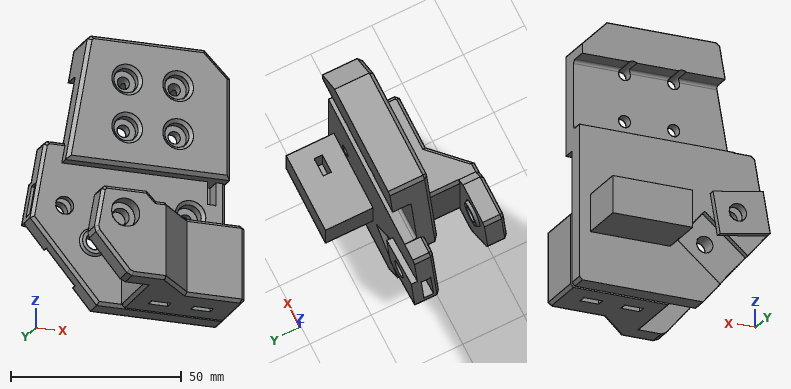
import cadquery as cq
import math

WIDTH = 60.75
DEPTH = 49.0
HEIGHT = 82.3

LEAN = 10.0
SLOPE = math.tan(math.radians(LEAN))
DIAGONAL_ANGLE = 50.0
DIAGONAL_TAN = math.tan(math.radians(DIAGONAL_ANGLE))

UPPER_BEVEL = 1.15
BEVEL = 1.0

PLATE_FRONT = 27.2
PLATE_BACK = 33.4
PLATE_TOP = 49.2
ELBOW_Z = 24.8
DIAGONAL_FOOT_X = ELBOW_Z / DIAGONAL_TAN
RIM_BACK = 35.4

UPPER_FRONT = 22.9
UPPER_BOTTOM = 42.7
UPPER_LEFT = 9.55
UPPER_CORNER_CUT = 8.0
RECESS_FLOOR_Y = 29.4
RECESS_BOTTOM = 49.4
RECESS_TOP = 71.2
RECESS_FILLET = 1.0

BOX_LEFT = 28.2
BOX_TOP = 24.0
BOX_FRONT = 10.8
BOX_SLANT_START_X = 32.0
BOX_SLANT_END_X = 42.65

ARM_THICKNESS = 6.6
ARM_TOP = 26.9
ARM_STEP_X = 26.3
ARM_ELBOW_X = 9.9
ARM_ELBOW_Z = (DIAGONAL_FOOT_X - ARM_ELBOW_X) * DIAGONAL_TAN

PIVOT_X = 19.4
PIVOT_Z = 19.2
PIVOT_BORE = 5.2
PIVOT_HEAD = 8.7
PIVOT_HEAD_DEPTH = 4.0
BOSS_TIP = 7.5
BOSS_BASE = 8.7
BOSS_HEIGHT = 1.0
PIVOT_POCKET_WIDTH = 13.8
PIVOT_POCKET_DEPTH = 1.7
POCKET_ANGLE = 90.0 - DIAGONAL_ANGLE

HEAD_DIAMETER = 7.5
HEAD_RIM = 9.55
HEAD_DEPTH = 3.3
UPPER_SCREW = 3.8
UPPER_SCREW_XS = (28.4, 44.3)
UPPER_SCREW_ZS = (54.75, 69.7)
LOWER_SCREW = 3.5
LOWER_SCREW_X = 49.7
LOWER_SCREW_Z = 31.4
LOWER_HEAD_DEPTH = 4.1

SIDE_HOLE = 5.5
SIDE_HOLE_X = 10.45
SIDE_HOLE_Z = 29.6
PAD_LENGTH = 16.5
PAD_WIDTH = 13.2
NUT_SLOT_LENGTH = 14.0
NUT_SLOT_WIDTH = 10.0
NUT_SLOT_FRONT = 29.15
NUT_SLOT_BACK = 32.3

OPEN_REACH = 24.7

BLOCK_LEFT = 31.45
BLOCK_RIGHT = 57.2
BLOCK_BOTTOM = 15.8
BLOCK_TOP = 27.7
SLOT_LENGTH = 5.9
SLOT_WIDTH = 2.6
BOX_SLOT_XS = (37.5, 50.8)
BOX_SLOT_Y = 20.25
BLOCK_SLOT_Y = 40.75
BLOCK_SLOT_DEPTH = 8.2
FRONT_SLOT_X = 56.4
FRONT_SLOT_BOTTOM = 35.65
FRONT_SLOT_DEPTH = 4.9


def plate(points, front, back):
    """Extrude an XZ outline from the front Y to the back Y."""
    return cq.Workplane("XZ", origin=(0, back, 0)).polyline(points).close().extrude(back - front)


def block(x_range, y_range, z_range):
    """Box between pairs of X, Y and Z limits."""
    sizes = [high - low for low, high in (x_range, y_range, z_range)]
    corner = (x_range[0], y_range[0], z_range[0])
    return cq.Workplane("XY").box(*sizes, centered=False).translate(corner)


def revolved(x, z, profile):
    """Solid of revolution about the Y line through (x, z); profile holds (radius, y) points."""
    points = [(0, profile[0][1])] + profile + [(0, profile[-1][1])]
    turned = cq.Workplane("XY").polyline(points).close().revolve(360, (0, 0, 0), (0, 1, 0))
    return turned.translate((x, 0, z))


def bore(x, z, diameter):
    """Cylinder along Y through the whole depth."""
    return revolved(x, z, [(diameter / 2, 0), (diameter / 2, DEPTH)])


def screw_hole(x, z, front, screw_diameter, head_depth):
    """Through hole with a counterbore whose rim is chamfered, opening at the front Y."""
    rim_chamfer = (HEAD_RIM - HEAD_DIAMETER) / 2
    return revolved(x, z, [
        (HEAD_RIM / 2, front),
        (HEAD_DIAMETER / 2, front + rim_chamfer),
        (HEAD_DIAMETER / 2, front + head_depth),
        (screw_diameter / 2, front + head_depth),
        (screw_diameter / 2, RIM_BACK),
    ])


def strip(x, z, angle, along, across, y_range):
    """Bar in the XZ plane turned by an angle about (x, z); along is its extent in that direction."""
    bar = block(along, y_range, (-across / 2, across / 2))
    return bar.rotate((0, 0, 0), (0, 1, 0), -angle).translate((x, 0, z))


def make_lower_plate():
    top_left_x = (PLATE_TOP - ELBOW_Z) * SLOPE
    body = plate([
        (DIAGONAL_FOOT_X, 0),
        (WIDTH, 0),
        (WIDTH, PLATE_TOP),
        (top_left_x, PLATE_TOP),
        (0, ELBOW_Z),
    ], PLATE_FRONT, PLATE_BACK)
    top_left = cq.selectors.NearestToPointSelector((top_left_x, PLATE_BACK, PLATE_TOP))
    bottom_right = cq.selectors.NearestToPointSelector((WIDTH, PLATE_BACK, 0))
    body = body.edges("|Y").edges(top_left).chamfer(BEVEL)
    body = body.edges("|Y").edges(bottom_right).chamfer(BEVEL)
    return body.faces("<Y").edges().chamfer(BEVEL)


def make_upper_plate():
    top_left_x = UPPER_LEFT + (HEIGHT - UPPER_BOTTOM) * SLOPE
    body = plate([
        (UPPER_LEFT, UPPER_BOTTOM),
        (WIDTH, UPPER_BOTTOM),
        (WIDTH, HEIGHT - UPPER_CORNER_CUT),
        (WIDTH - UPPER_CORNER_CUT, HEIGHT),
        (top_left_x, HEIGHT),
    ], UPPER_FRONT, RIM_BACK)
    top_left = cq.selectors.NearestToPointSelector((top_left_x, RIM_BACK, HEIGHT))
    body = body.edges("|Y").edges(top_left).chamfer(BEVEL)
    body = body.faces("<Y").edges().chamfer(UPPER_BEVEL)
    recess = block((0, WIDTH), (RECESS_FLOOR_Y, DEPTH), (RECESS_BOTTOM, RECESS_TOP))
    recess = recess.faces("<Y").edges("|X").fillet(RECESS_FILLET)
    below_recess = block((0, WIDTH), (PLATE_BACK, DEPTH), (0, RECESS_BOTTOM))
    return body.cut(recess).cut(below_recess)


def make_box():
    body = cq.Workplane("XY").polyline([
        (BOX_LEFT, PLATE_FRONT),
        (BOX_LEFT, 0),
        (BOX_SLANT_START_X, 0),
        (BOX_SLANT_END_X, BOX_FRONT),
        (WIDTH, BOX_FRONT),
        (WIDTH, PLATE_FRONT),
    ]).close().extrude(BOX_TOP)
    right_corner = cq.selectors.NearestToPointSelector((WIDTH, BOX_FRONT, BOX_TOP / 2))
    body = body.edges("|Z").edges(right_corner).chamfer(BEVEL)
    return body.faces("<Z or >Z").edges("not >Y").chamfer(BEVEL)


def make_arm():
    top_left_x = ARM_ELBOW_X + (ARM_TOP - ARM_ELBOW_Z) * SLOPE
    body = plate([
        (DIAGONAL_FOOT_X, 0),
        (BOX_SLANT_START_X, 0),
        (BOX_SLANT_START_X, BOX_TOP),
        (ARM_STEP_X + ARM_TOP - BOX_TOP, BOX_TOP),
        (ARM_STEP_X, ARM_TOP),
        (top_left_x, ARM_TOP),
        (ARM_ELBOW_X, ARM_ELBOW_Z),
    ], 0, ARM_THICKNESS)
    for x, z in ((top_left_x, ARM_TOP), (ARM_ELBOW_X, ARM_ELBOW_Z), (DIAGONAL_FOOT_X, 0)):
        corner = cq.selectors.NearestToPointSelector((x, ARM_THICKNESS / 2, z))
        body = body.edges("|Y").edges(corner).chamfer(BEVEL)
    return body.faces("<Y").edges("not >X").chamfer(BEVEL)


def make_bosses():
    """Two tapered bosses facing each other across the gap between the arm and the plate."""
    arm_boss = revolved(PIVOT_X, PIVOT_Z, [
        (BOSS_BASE / 2, ARM_THICKNESS),
        (BOSS_TIP / 2, ARM_THICKNESS + BOSS_HEIGHT),
    ])
    plate_boss = revolved(PIVOT_X, PIVOT_Z, [
        (BOSS_TIP / 2, PLATE_FRONT - BOSS_HEIGHT),
        (BOSS_BASE / 2, PLATE_FRONT),
    ])
    return arm_boss.union(plate_boss)


def make_side_pad():
    """Rear pad reaching in from the leaning edge, its lower corner at the plate's elbow."""
    half_width = PAD_WIDTH / 2
    x = half_width * math.sin(math.radians(LEAN))
    z = ELBOW_Z + half_width * math.cos(math.radians(LEAN))
    return strip(x, z, -LEAN, (0, PAD_LENGTH), PAD_WIDTH, (PLATE_FRONT + BEVEL, RIM_BACK))


def cut_side_hole(body):
    edge_x = (SIDE_HOLE_Z - ELBOW_Z) * SLOPE
    edge_distance = (SIDE_HOLE_X - edge_x) * math.cos(math.radians(LEAN))
    slot = strip(SIDE_HOLE_X, SIDE_HOLE_Z, -LEAN, (-OPEN_REACH, NUT_SLOT_LENGTH - edge_distance),
                 NUT_SLOT_WIDTH, (NUT_SLOT_FRONT, NUT_SLOT_BACK))
    return body.cut(slot).cut(bore(SIDE_HOLE_X, SIDE_HOLE_Z, SIDE_HOLE))


def cut_pivot(body):
    """Pivot bore, head counterbore in the arm and rear pocket open through the diagonal edge."""
    head = revolved(PIVOT_X, PIVOT_Z, [(PIVOT_HEAD / 2, 0), (PIVOT_HEAD / 2, PIVOT_HEAD_DEPTH)])
    pocket = strip(PIVOT_X, PIVOT_Z, POCKET_ANGLE, (-OPEN_REACH, PIVOT_POCKET_WIDTH / 2),
                   PIVOT_POCKET_WIDTH, (PLATE_BACK - PIVOT_POCKET_DEPTH, PLATE_BACK))
    return body.cut(bore(PIVOT_X, PIVOT_Z, PIVOT_BORE)).cut(head).cut(pocket)


def cut_screw_holes(body):
    for x in UPPER_SCREW_XS:
        for z in UPPER_SCREW_ZS:
            body = body.cut(screw_hole(x, z, UPPER_FRONT, UPPER_SCREW, HEAD_DEPTH))
    lower_hole = screw_hole(LOWER_SCREW_X, LOWER_SCREW_Z, PLATE_FRONT, LOWER_SCREW, LOWER_HEAD_DEPTH)
    return body.cut(lower_hole)


def flat_slot(x, y, z_range):
    """Upright nut slot, long in X and narrow in Y."""
    half_length = SLOT_LENGTH / 2
    half_width = SLOT_WIDTH / 2
    return block((x - half_length, x + half_length), (y - half_width, y + half_width), z_range)


def cut_slots(body):
    for x in BOX_SLOT_XS:
        body = body.cut(flat_slot(x, BOX_SLOT_Y, (0, BOX_TOP)))
    body = body.cut(flat_slot(LOWER_SCREW_X, BLOCK_SLOT_Y, (BLOCK_TOP - BLOCK_SLOT_DEPTH, BLOCK_TOP)))
    front_slot = block(
        (FRONT_SLOT_X - SLOT_WIDTH / 2, FRONT_SLOT_X + SLOT_WIDTH / 2),
        (PLATE_FRONT, PLATE_FRONT + FRONT_SLOT_DEPTH),
        (FRONT_SLOT_BOTTOM, UPPER_BOTTOM),
    )
    return body.cut(front_slot)


rear_block = block((BLOCK_LEFT, BLOCK_RIGHT), (PLATE_BACK, DEPTH), (BLOCK_BOTTOM, BLOCK_TOP))
body = make_lower_plate().union(make_upper_plate())
body = body.union(make_side_pad()).union(rear_block)
body = body.union(make_box()).union(make_arm()).union(make_bosses())
body = cut_side_hole(body)
body = cut_pivot(body)
body = cut_screw_holes(body)
result = cut_slots(body)